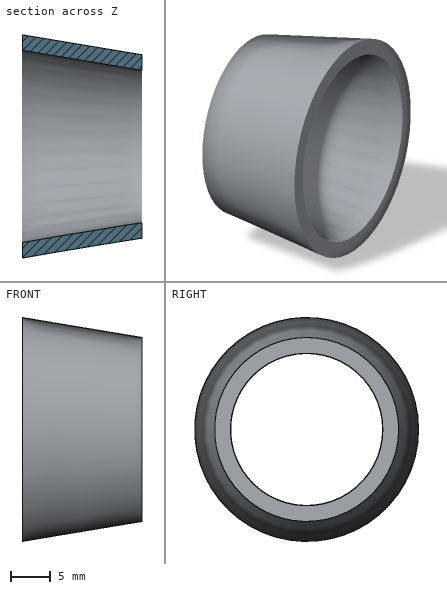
import cadquery as cq

length = 15.0
wide_outer_radius = 14.0
narrow_outer_radius = 11.5
wall = 2.0

wide_inner_radius = wide_outer_radius - wall
narrow_inner_radius = narrow_outer_radius - wall


def tapered_plug(wide_radius, narrow_radius):
    """Solid lofted between the wide and narrow end circles."""
    return (
        cq.Workplane("YZ")
        .circle(wide_radius)
        .workplane(offset=length)
        .circle(narrow_radius)
        .loft(combine=True)
    )


outer_body = tapered_plug(wide_outer_radius, narrow_outer_radius)
bore = tapered_plug(wide_inner_radius, narrow_inner_radius)

result = outer_body.cut(bore)